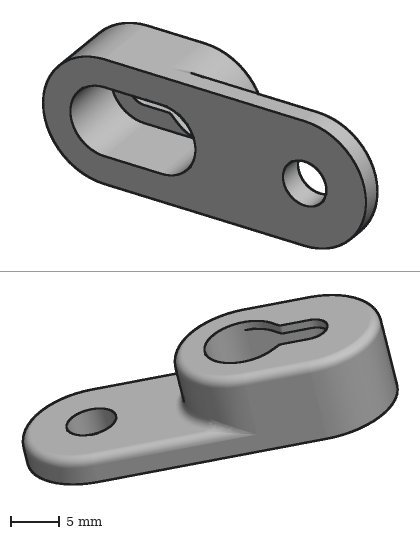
import cadquery as cq
import math

length = 39.5
height = 15.0
boss_depth = 9.0
plate_depth = 3.0
edge_round = 1.0
neck_length = 7.0
hole_diameter = 5.3
pocket_radius = 4.15
slot_radius = 1.98
lip_depth = 1.0
throat_round = 0.5

end_radius = height / 2
left_x = end_radius
right_x = length - end_radius
boss_x = left_x + neck_length


def obround(start_x, end_x, radius, depth):
    """Round-ended bar along X, extruded from the flat face towards +Y."""
    return (
        cq.Workplane("XZ")
        .center((start_x + end_x) / 2, 0)
        .slot2D(end_x - start_x + 2 * radius, 2 * radius)
        .extrude(-depth)
    )


def cylinder(center_x, radius, depth):
    return cq.Workplane("XZ").center(center_x, 0).circle(radius).extrude(-depth)


def rounded_bar(start_x, end_x, depth):
    return obround(start_x, end_x, end_radius, depth).faces(">Y").edges().fillet(edge_round)


def make_body():
    """Thin plate and thick boss, blended where the boss rises from the plate."""
    body = rounded_bar(left_x, right_x, plate_depth).union(rounded_bar(left_x, boss_x, boss_depth))
    blend_selector = cq.selectors.BoxSelector(
        (boss_x, plate_depth - edge_round, -height),
        (boss_x + 2 * end_radius, plate_depth + edge_round, height),
    )
    return body.edges(blend_selector).edges("%CIRCLE").fillet(edge_round)


def make_throat():
    """Narrow slot whose 45 degree flanks open out tangent to the round entry hole."""
    throat_x = boss_x - pocket_radius * math.sqrt(2) + slot_radius
    tangent_offset = pocket_radius / math.sqrt(2)
    tangent_x = boss_x - tangent_offset
    throat = (
        cq.Workplane("XZ")
        .moveTo(left_x, -slot_radius)
        .lineTo(throat_x, -slot_radius)
        .lineTo(tangent_x, -tangent_offset)
        .lineTo(boss_x, 0)
        .lineTo(tangent_x, tangent_offset)
        .lineTo(throat_x, slot_radius)
        .lineTo(left_x, slot_radius)
        .threePointArc((left_x - slot_radius, 0), (left_x, -slot_radius))
        .close()
        .extrude(-boss_depth)
    )
    throat_edges = cq.selectors.BoxSelector(
        (throat_x - throat_round, 0, -height),
        (throat_x + throat_round, boss_depth, height),
    )
    return throat.edges("|Y").edges(throat_edges).fillet(throat_round)


result = (
    make_body()
    .cut(obround(left_x, boss_x, pocket_radius, boss_depth - lip_depth))
    .cut(cylinder(boss_x, pocket_radius, boss_depth))
    .cut(make_throat())
    .cut(cylinder(right_x, hole_diameter / 2, plate_depth))
)